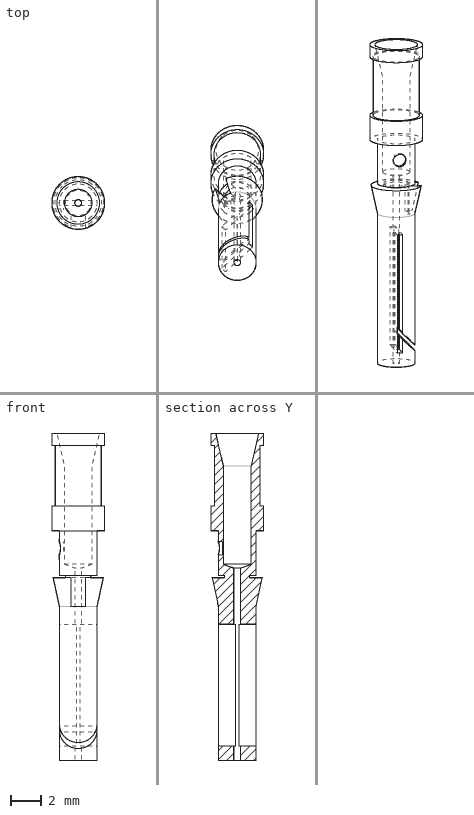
import cadquery as cq
import math

total_length = 21.6
sleeve_radius = 1.25
flange_radius = 1.75
barrel_radius = 1.53
top_flange_height = 0.82
collar_bottom = 15.16
collar_top = 16.8

barb_radius = 1.66
barb_bottom = 10.17
barb_top = 12.07
groove_top = 12.2
neck_radius = 0.85
barb_gap_width = 0.97

funnel_radius = 1.4
funnel_depth = 2.15
wire_bore_radius = 0.9
wire_bore_bottom = 12.95
drill_point_angle = 140.0
through_hole_radius = 0.22
drill_point_slope = 1 / math.tan(math.radians(drill_point_angle / 2))
drill_point_depth = (wire_bore_radius - through_hole_radius) * drill_point_slope

inspection_diameter = 0.85
inspection_depth = 0.28
inspection_height = 14.02

slot_width = 0.35
slot_bottom = 0.97
slot_top = 8.99
slit_height = 0.39
slit_start_top = 2.27


def make_body():
    top_flange_bottom = total_length - top_flange_height
    profile = [
        (0, 0),
        (sleeve_radius, 0),
        (sleeve_radius, barb_bottom),
        (barb_radius, barb_top),
        (neck_radius, barb_top),
        (neck_radius, groove_top),
        (sleeve_radius, groove_top),
        (sleeve_radius, collar_bottom),
        (flange_radius, collar_bottom),
        (flange_radius, collar_top),
        (barrel_radius, collar_top),
        (barrel_radius, top_flange_bottom),
        (flange_radius, top_flange_bottom),
        (flange_radius, total_length),
        (0, total_length),
    ]
    return cq.Workplane("XZ").polyline(profile).close().revolve(360, (0, 0), (0, 1))


def make_bores():
    """Wire bore from the top, continued by a small hole right through the part."""
    profile = [
        (0, 0),
        (through_hole_radius, 0),
        (through_hole_radius, wire_bore_bottom - drill_point_depth),
        (wire_bore_radius, wire_bore_bottom),
        (wire_bore_radius, total_length - funnel_depth),
        (funnel_radius, total_length),
        (0, total_length),
    ]
    return cq.Workplane("XZ").polyline(profile).close().revolve(360, (0, 0), (0, 1))


def make_barb_gap():
    """Gap in the barb on the -Y side, cut down to the neck."""
    height = barb_top - barb_bottom
    block = (
        cq.Workplane("XY", origin=(0, 0, barb_bottom))
        .center(0, -barb_radius / 2)
        .rect(barb_gap_width, barb_radius)
        .extrude(height)
    )
    neck = cq.Workplane("XY", origin=(0, 0, barb_bottom)).circle(neck_radius).extrude(height)
    return block.cut(neck)


def make_inspection_dimple():
    return (
        cq.Workplane("YZ", origin=(-sleeve_radius, 0, 0))
        .center(0, inspection_height)
        .circle(inspection_diameter / 2)
        .extrude(inspection_depth)
    )


def make_spring_slot():
    slot_length = slot_top - slot_bottom
    return (
        cq.Workplane("YZ")
        .center(0, (slot_bottom + slot_top) / 2)
        .rect(slot_width, slot_length)
        .extrude(flange_radius, both=True)
    )


def make_slit():
    """Slit falling one unit for each unit it runs outward."""
    drop = flange_radius
    start_top = slit_start_top + slot_width / 2
    outline = [
        (0, start_top),
        (-flange_radius, start_top - drop),
        (-flange_radius, start_top - drop - slit_height),
        (0, start_top - slit_height),
    ]
    return cq.Workplane("YZ").polyline(outline).close().extrude(flange_radius, both=True)


result = (
    make_body()
    .cut(make_bores())
    .cut(make_barb_gap())
    .cut(make_inspection_dimple())
    .cut(make_spring_slot())
    .cut(make_slit())
)